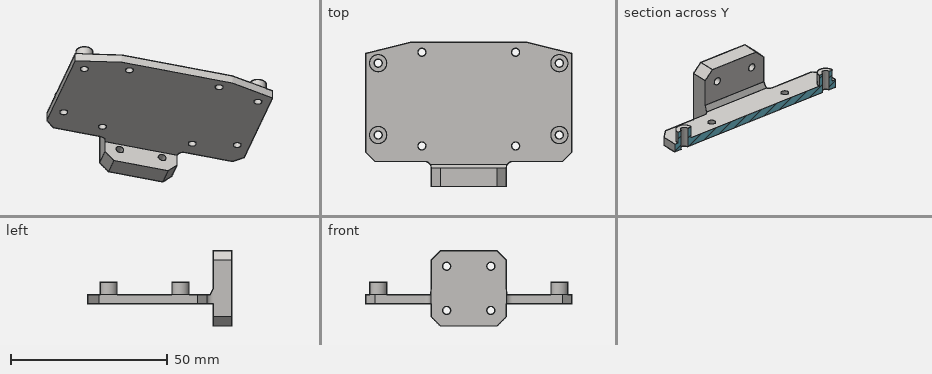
import cadquery as cq

plate_width = 66.0
plate_depth = 38.25
plate_thickness = 3.0
front_chamfer = 3.0
back_edge_width = 37.0
back_corner_drop = 3.6

hole_diameter = 2.5
hole_pattern_center_y = 20.0
plate_hole_spacing = 30.0

standoff_diameter = 5.5
standoff_height = 4.0
standoff_spacing_x = 58.0
standoff_spacing_y = 23.0

mount_hole_circle = 20.0
mount_hole_spacing = mount_hole_circle / 2**0.5
mount_edge_margin = 5.0
mount_size = mount_hole_spacing + 2 * mount_edge_margin
mount_thickness = 6.0
mount_chamfer = 3.0
mount_center_z = 5.0

neck_length = 2.0
neck_fillet = neck_length
gusset_depth = 1.0
gusset_height = 2.0

mount_back_y = -neck_length


def make_plate():
    """Flat plate with small front chamfers and long sloping back corners."""
    half_width = plate_width / 2
    half_back = back_edge_width / 2
    outline = [
        (-half_width + front_chamfer, 0),
        (half_width - front_chamfer, 0),
        (half_width, front_chamfer),
        (half_width, plate_depth - back_corner_drop),
        (half_back, plate_depth),
        (-half_back, plate_depth),
        (-half_width, plate_depth - back_corner_drop),
        (-half_width, front_chamfer),
    ]
    return cq.Workplane("XY").polyline(outline).close().extrude(plate_thickness)


def make_neck(height):
    """Neck whose sides flare in concave arcs from the mount to the plate."""
    half_neck = mount_size / 2
    flare_x = half_neck + neck_fillet
    arc_offset = neck_fillet * (1 - 0.5**0.5)
    return (
        cq.Workplane("XY")
        .moveTo(-half_neck, mount_back_y)
        .lineTo(half_neck, mount_back_y)
        .threePointArc((half_neck + arc_offset, -arc_offset), (flare_x, 0))
        .lineTo(-flare_x, 0)
        .threePointArc((-half_neck - arc_offset, -arc_offset), (-half_neck, mount_back_y))
        .close()
        .extrude(height)
    )


def make_gusset():
    """Sloping wedge along the mount, trimmed to the flared outline of the neck."""
    wedge = (
        cq.Workplane("YZ")
        .moveTo(mount_back_y, plate_thickness)
        .lineTo(mount_back_y + gusset_depth, plate_thickness)
        .lineTo(mount_back_y, plate_thickness + gusset_height)
        .close()
        .extrude(plate_width / 2, both=True)
    )
    return wedge.intersect(make_neck(plate_thickness + gusset_height))


def make_mount():
    """Square upright block with chamfered corners and four through holes."""
    return (
        cq.Workplane("XZ", origin=(0, mount_back_y, mount_center_z))
        .rect(mount_size, mount_size)
        .extrude(mount_thickness)
        .edges("|Y")
        .chamfer(mount_chamfer)
        .faces("<Y")
        .workplane(centerOption="CenterOfBoundBox")
        .rect(mount_hole_spacing, mount_hole_spacing, forConstruction=True)
        .vertices()
        .hole(hole_diameter)
    )


def vertical_cylinders(spacing_x, spacing_y, diameter, bottom_z, height):
    """Four upright cylinders on a rectangle about the plate's hole centre."""
    return (
        cq.Workplane("XY", origin=(0, hole_pattern_center_y, bottom_z))
        .rect(spacing_x, spacing_y, forConstruction=True)
        .vertices()
        .circle(diameter / 2)
        .extrude(height)
    )


standoffs = vertical_cylinders(
    standoff_spacing_x, standoff_spacing_y, standoff_diameter, plate_thickness, standoff_height
)
standoff_holes = vertical_cylinders(
    standoff_spacing_x, standoff_spacing_y, hole_diameter, 0, plate_thickness + standoff_height
)
plate_holes = vertical_cylinders(
    plate_hole_spacing, plate_hole_spacing, hole_diameter, 0, plate_thickness
)

result = (
    make_plate()
    .union(make_neck(plate_thickness))
    .union(make_gusset())
    .union(make_mount())
    .union(standoffs)
    .cut(standoff_holes)
    .cut(plate_holes)
)